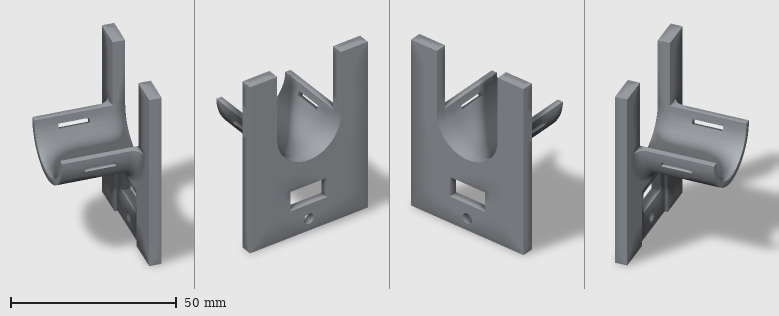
import cadquery as cq
import math

plate_width = 43.5
plate_height = 60.0
plate_thickness = 4.0
plate_front = -plate_thickness

cradle_inner_radius = 11.75
cradle_wall = 2.0
cradle_outer_radius = cradle_inner_radius + cradle_wall
cradle_length = 25.0
cradle_front = plate_front - cradle_length
cradle_axis_z = 37.25
root_fillet = 3.5
root_radius = cradle_outer_radius + root_fillet

slot_length = 10.0
slot_upper_angle = 13.0
slot_lower_angle = 21.0
slot_sweep = slot_lower_angle - slot_upper_angle

recess_width = 20.0
recess_height = 19.8
recess_depth = 1.0
window_width = 13.5
window_height = 7.0
window_bottom = 9.5
screw_hole_diameter = 3.6
screw_hole_z = 4.25


def block(width, y_front, y_back, z_bottom, z_top):
    """Box centred on x = 0 between the given y and z limits."""
    depth = y_back - y_front
    height = z_top - z_bottom
    return (
        cq.Workplane("XY")
        .box(width, depth, height, centered=(True, False, False))
        .translate((0, y_front, z_bottom))
    )


def cylinder_along_y(radius, y_front, y_back, z):
    """Cylinder on x = 0 at height z, running from y_front to y_back."""
    return (
        cq.Workplane("XZ", origin=(0, y_back, z))
        .circle(radius)
        .extrude(y_back - y_front)
    )


def make_cradle_blank():
    """Lower half of a flared sleeve, revolved through 180 degrees; still solid inside."""
    flare_start = plate_front - root_fillet
    embedded_end = plate_front / 2
    arc_offset = root_fillet * (1 - math.cos(math.pi / 4))
    arc_middle = (cradle_outer_radius + arc_offset, plate_front - arc_offset)
    profile = (
        cq.Workplane("XY", origin=(0, 0, cradle_axis_z))
        .moveTo(0, cradle_front)
        .lineTo(cradle_outer_radius, cradle_front)
        .lineTo(cradle_outer_radius, flare_start)
        .threePointArc(arc_middle, (root_radius, plate_front))
        .lineTo(root_radius, embedded_end)
        .lineTo(0, embedded_end)
        .close()
    )
    return profile.revolve(180, (0, 0, 0), (0, 1, 0))


def make_channel():
    """U-shaped opening: round bottom along the cradle, straight sides up to the top."""
    bottom = cylinder_along_y(cradle_inner_radius, cradle_front, 0, cradle_axis_z)
    sides = block(2 * cradle_inner_radius, cradle_front, 0, cradle_axis_z, plate_height)
    return bottom.union(sides)


def make_strap_slot(start_angle):
    """Wedge about the cradle axis, swept from start_angle, reaching past the outer wall."""
    wedge_reach = cradle_outer_radius + cradle_wall
    slot_middle = cradle_front + cradle_length / 2
    return (
        cq.Workplane("XY")
        .rect(wedge_reach, slot_length, centered=(False, True))
        .revolve(slot_sweep, (0, 0, 0), (0, 1, 0))
        .rotate((0, 0, 0), (0, 1, 0), start_angle)
        .translate((0, slot_middle, cradle_axis_z))
    )


def make_recess():
    return block(recess_width, plate_front, plate_front + recess_depth, 0, recess_height)


def make_window():
    return block(window_width, plate_front, 0, window_bottom, window_bottom + window_height)


def make_screw_hole():
    return cylinder_along_y(screw_hole_diameter / 2, plate_front, 0, screw_hole_z)


plate = block(plate_width, plate_front, 0, 0, plate_height)
result = (
    plate.union(make_cradle_blank())
    .cut(make_channel())
    .cut(make_strap_slot(slot_upper_angle))
    .cut(make_strap_slot(180 - slot_lower_angle))
    .cut(make_recess())
    .cut(make_window())
    .cut(make_screw_hole())
)